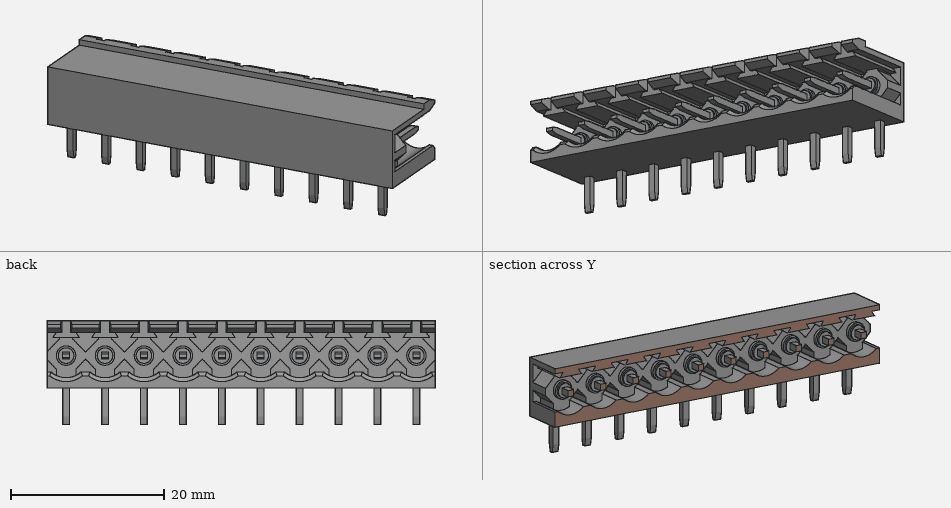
import cadquery as cq
import math


length = 50.7
depth = 12.0
roof_top = 8.05
roof_thickness = 0.75
floor_top = 2.15
floor_chamfer = 0.5
back_wall = 0.75
roof_underside = roof_top - roof_thickness

lip_top = 8.8
lip_length = 3.1
lip_bevel = 1.45
lip_nose_upper = 8.3
lip_nose_lower = 7.85

contact_count = 10
end_margin = 2.5
pitch = (length - 2 * end_margin) / (contact_count - 1)
contact_size = 0.9
contact_z = 4.25
contact_front = 11.3
tail_y = 2.05
tail_bottom = -4.75
tip_half_thickness = 0.23
tip_shoulder = 0.6
tip_shoulder_half_thickness = 0.3
tip_taper = 2.1

boss_front = 3.8
boss_waist = pitch / 2
boss_upper_z = 6.45
boss_lower_z = 2.5
boss_top_half_width = 0.85
boss_base_half_width = 1.25
collar_radius = 1.25
collar_length = 0.5
inner_collar_radius = 1.0
inner_collar_length = 0.3

rib_bottom = 6.65
rib_front = 10.15
rib_half_width = 1.7
rib_root_half_width = 1.25
scoop_radius = 2.9
notch_front_half_width = 0.75
notch_back_half_width = 0.55

contact_positions = [end_margin + i * pitch for i in range(contact_count)]


def prism_along_x(points, start, width):
    """Extrude a (y, z) outline along X."""
    return cq.Workplane("YZ").workplane(offset=start).polyline(points).close().extrude(width)


def prism_along_y(points, start, end):
    """Extrude an (x, z) outline along Y."""
    return cq.Workplane("XZ").workplane(offset=-end).polyline(points).close().extrude(end - start)


def cylinder_along_y(x, radius, start, end):
    """Round bar on the contact axis."""
    plane = cq.Workplane("XZ").workplane(offset=-end)
    return plane.center(x, contact_z).circle(radius).extrude(end - start)


def mirrored(center, half_profile):
    """Complete a profile of (half width, position) points with its mirror image about the center."""
    upper_side = [(center + half_width, position) for half_width, position in half_profile]
    lower_side = [(center - half_width, position) for half_width, position in reversed(half_profile)]
    return upper_side + lower_side


def housing():
    outline = [
        (0, 0),
        (depth, 0),
        (depth, floor_top - floor_chamfer),
        (depth - floor_chamfer, floor_top),
        (back_wall, floor_top),
        (back_wall, roof_underside),
        (depth - lip_bevel, roof_underside),
        (depth, lip_nose_lower),
        (depth, lip_nose_upper),
        (depth - lip_bevel, lip_top),
        (depth - lip_length, lip_top),
        (depth - lip_length, roof_top),
        (0, roof_top),
    ]
    return prism_along_x(outline, 0, length)


def lip_notch(x):
    corners = [
        (x - notch_front_half_width, depth),
        (x - notch_back_half_width, rib_front),
        (x + notch_back_half_width, rib_front),
        (x + notch_front_half_width, depth),
    ]
    plane = cq.Workplane("XY").workplane(offset=rib_bottom)
    return plane.polyline(corners).close().extrude(lip_top - rib_bottom)


def floor_scoop(x):
    """Round channel about the contact axis, widening where it meets the chamfered front edge."""
    outline = [
        (back_wall, contact_z),
        (depth, contact_z),
        (depth, contact_z - scoop_radius - floor_chamfer),
        (depth - floor_chamfer, contact_z - scoop_radius),
        (back_wall, contact_z - scoop_radius),
    ]
    axis_start = (back_wall, contact_z)
    axis_end = (depth, contact_z)
    half_profile = cq.Workplane("YZ").workplane(offset=x).polyline(outline).close()
    lower_half = cq.Workplane("XY").box(length, depth, contact_z, centered=False)
    return half_profile.revolve(360, axis_start, axis_end).intersect(lower_half)


def boss(x):
    half_profile = [
        (boss_base_half_width, 0),
        (boss_base_half_width, boss_lower_z),
        (boss_waist, contact_z - contact_size / 2),
        (boss_waist, contact_z + contact_size / 2),
        (boss_top_half_width, boss_upper_z),
        (boss_top_half_width, roof_underside),
    ]
    body = prism_along_y(mirrored(x, half_profile), 0, boss_front)
    collar_end = boss_front + collar_length
    collar = cylinder_along_y(x, collar_radius, boss_front, collar_end)
    inner_end = collar_end + inner_collar_length
    inner_collar = cylinder_along_y(x, inner_collar_radius, boss_front, inner_end)
    return body.union(collar).union(inner_collar)


def roof_rib(x):
    half_profile = [(rib_half_width, rib_bottom), (rib_root_half_width, roof_underside)]
    return prism_along_y(mirrored(x, half_profile), 0, rib_front)


def tapered_bar(root, tip):
    """Half profile of a bar as (half thickness, position) points running from root to tip."""
    toward_root = math.copysign(0.5, root - tip)
    return [
        (contact_size / 2, root),
        (contact_size / 2, tip + toward_root * tip_taper),
        (tip_shoulder_half_thickness, tip + toward_root * tip_shoulder),
        (tip_half_thickness, tip),
    ]


def contact(x):
    """Right-angle contact: a blade along Y and a solder tail along Z, each with a wedge-shaped tip."""
    start = x - contact_size / 2
    blade_outline = [(y, z) for z, y in mirrored(contact_z, tapered_bar(0, contact_front))]
    blade = prism_along_x(blade_outline, start, contact_size)
    tail_outline = mirrored(tail_y, tapered_bar(contact_z, tail_bottom))
    tail = prism_along_x(tail_outline, start, contact_size)
    return blade.union(tail)


envelope = cq.Workplane("XY").box(length, depth, lip_top, centered=False)
part = housing()
for x in contact_positions:
    part = part.cut(lip_notch(x)).cut(floor_scoop(x))
for x in contact_positions:
    part = part.union(boss(x).intersect(envelope)).union(roof_rib(x)).union(contact(x))

result = part